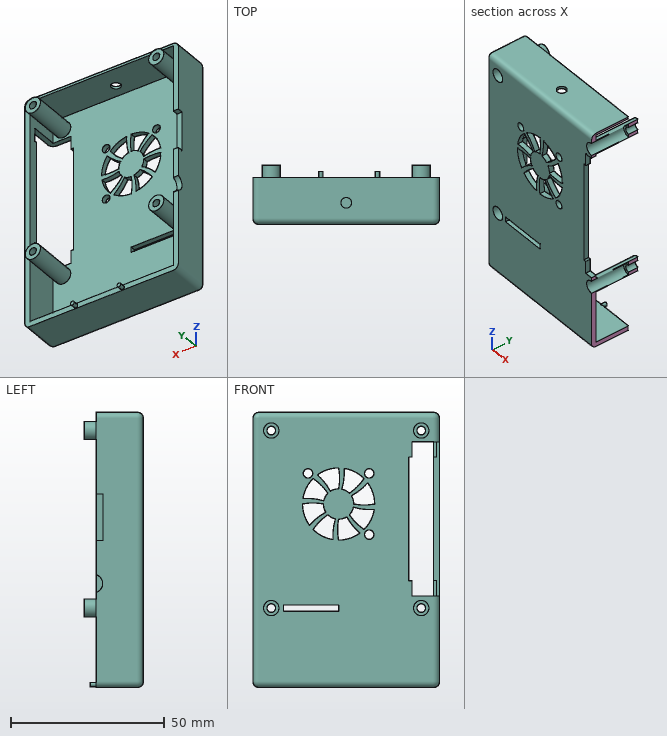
import cadquery as cq
import math

WIDTH = 61.0
HEIGHT = 90.0
TOTAL_DEPTH = 19.44
POST_PROJECTION = 4.0
RIM_Y = TOTAL_DEPTH - POST_PROJECTION
WALL = 2.0
TOP_WALL = 1.0
CORNER_RADIUS = 2.0

POST_DIAMETER = 6.0
SCREW_HEAD_DIAMETER = 5.0
SCREW_HOLE_DIAMETER = 2.75
POST_X = 24.5
POST_Z_LEVELS = (39.0, -19.0)

PIN_DIAMETER = 1.5
PIN_HEIGHT = 2.0
PIN_X_POSITIONS = (-8.3, 10.2)
PIN_Z = -(HEIGHT - WALL) / 2

FAN_X = -2.5
FAN_Z = 15.0
FAN_RADIUS = 11.75
HUB_RADIUS = 5.0
SPOKE_COUNT = 8
SPOKE_WIDTH_AT_HUB = 1.1
SPOKE_WIDTH_AT_RIM = 1.85
SPOKE_BOW = 0.3
FAN_SCREW_DIAMETER = 3.0
FAN_SCREW_OFFSET = 10.0
FAN_SCREW_SIDES = ((-1, 1), (1, 1), (1, -1))

HEADER_Z_MIN = -15.0
HEADER_Z_MAX = 35.3
HEADER_X_MIN = 21.5
HEADER_STEP = 1.0
HEADER_END_LENGTH = 5.0
HEADER_SILL = 4.0
SILL_RECESS_DEPTH = 1.0

RIBBON_X_MIN = -20.5
RIBBON_LENGTH = 18.0
RIBBON_Z_MIN = -20.0
RIBBON_HEIGHT = 2.0

SIDE_NOTCH_Z_MIN = 3.0
SIDE_NOTCH_LENGTH = 15.2
SIDE_NOTCH_DEPTH = 2.2
JACK_DIAMETER = 6.0
JACK_Z = -11.0
JACK_AXIS_BEYOND_RIM = 0.9
TOP_HOLE_DIAMETER = 3.5
TOP_HOLE_FROM_RIM = 8.3


def block(x_min, x_max, y_min, y_max, z_min, z_max):
    """Box given by its limits along each axis."""
    size = (x_max - x_min, y_max - y_min, z_max - z_min)
    return cq.Workplane("XY").box(*size, centered=False).translate((x_min, y_min, z_min))


def rod_y(x, z, diameter, y_min, y_max):
    """Cylinder along Y."""
    plane = cq.Workplane("XZ", origin=(x, y_min, z))
    return plane.circle(diameter / 2).extrude(y_min - y_max)


def make_shell():
    half_width = WIDTH / 2
    half_height = HEIGHT / 2
    body = block(-half_width, half_width, 0, RIM_Y, -half_height, half_height)
    body = body.edges("|Y or <Y").fillet(CORNER_RADIUS)
    inner_x = half_width - WALL
    inner_z_min = -half_height + WALL
    inner_z_max = half_height - TOP_WALL
    return body.cut(block(-inner_x, inner_x, WALL, RIM_Y, inner_z_min, inner_z_max))


def add_posts(body):
    for x in (-POST_X, POST_X):
        for z in POST_Z_LEVELS:
            body = body.union(rod_y(x, z, POST_DIAMETER, WALL, TOTAL_DEPTH))
            body = body.cut(rod_y(x, z, SCREW_HEAD_DIAMETER, 0, RIM_Y))
            body = body.cut(rod_y(x, z, SCREW_HOLE_DIAMETER, 0, TOTAL_DEPTH))
    return body


def add_pins(body):
    for x in PIN_X_POSITIONS:
        body = body.union(rod_y(x, PIN_Z, PIN_DIAMETER, RIM_Y - WALL, RIM_Y + PIN_HEIGHT))
    return body


def grille_opening():
    """Opening between two neighbouring spokes, centred on the fan axis."""
    pitch = 2 * math.pi / SPOKE_COUNT
    middle_radius = (HUB_RADIUS + FAN_RADIUS) / 2
    middle_width = (SPOKE_WIDTH_AT_HUB + SPOKE_WIDTH_AT_RIM) / 2

    def polar(radius, angle):
        return (radius * math.cos(angle), radius * math.sin(angle))

    def next_spoke_edge(radius, offset):
        """Point on the clockwise edge of the next spoke, offset from its radial line."""
        along = math.sqrt(radius**2 - offset**2)
        cos_pitch = math.cos(pitch)
        sin_pitch = math.sin(pitch)
        return (along * cos_pitch + offset * sin_pitch, along * sin_pitch - offset * cos_pitch)

    def arc_middle(radius, far_point):
        return polar(radius, math.atan2(far_point[1], far_point[0]) / 2)

    rim_end = next_spoke_edge(FAN_RADIUS, SPOKE_WIDTH_AT_RIM)
    hub_end = next_spoke_edge(HUB_RADIUS, SPOKE_WIDTH_AT_HUB)
    return (
        cq.Workplane("XZ", origin=(0, WALL, 0))
        .moveTo(HUB_RADIUS, 0)
        .threePointArc((middle_radius, -SPOKE_BOW), (FAN_RADIUS, 0))
        .threePointArc(arc_middle(FAN_RADIUS, rim_end), rim_end)
        .threePointArc(next_spoke_edge(middle_radius, middle_width + SPOKE_BOW), hub_end)
        .threePointArc(arc_middle(HUB_RADIUS, hub_end), (HUB_RADIUS, 0))
        .close()
        .extrude(WALL)
    )


def cut_fan_grille(body):
    opening = grille_opening()
    for index in range(SPOKE_COUNT):
        angle = index * 360 / SPOKE_COUNT
        turned = opening.rotate((0, 0, 0), (0, 1, 0), angle)
        body = body.cut(turned.translate((FAN_X, 0, FAN_Z)))
    for side_x, side_z in FAN_SCREW_SIDES:
        x = FAN_X + side_x * FAN_SCREW_OFFSET
        z = FAN_Z + side_z * FAN_SCREW_OFFSET
        body = body.cut(rod_y(x, z, FAN_SCREW_DIAMETER, 0, WALL))
    return body


def cut_header_opening(body):
    outer_x = WIDTH / 2
    sill_y = RIM_Y - HEADER_SILL
    middle_z_min = HEADER_Z_MIN + HEADER_END_LENGTH
    middle_z_max = HEADER_Z_MAX - HEADER_END_LENGTH
    body = body.cut(block(HEADER_X_MIN, outer_x, 0, sill_y, HEADER_Z_MIN, HEADER_Z_MAX))
    middle_x_min = HEADER_X_MIN - HEADER_STEP
    body = body.cut(block(middle_x_min, outer_x, 0, WALL, middle_z_min, middle_z_max))
    recess_x_min = outer_x - WALL
    recess_x_max = recess_x_min + HEADER_STEP
    recess_y_max = sill_y + SILL_RECESS_DEPTH
    for z_min in (HEADER_Z_MIN, middle_z_max):
        z_max = z_min + HEADER_END_LENGTH
        body = body.cut(block(recess_x_min, recess_x_max, sill_y, recess_y_max, z_min, z_max))
    return body


def cut_ribbon_slot(body):
    x_max = RIBBON_X_MIN + RIBBON_LENGTH
    z_max = RIBBON_Z_MIN + RIBBON_HEIGHT
    return body.cut(block(RIBBON_X_MIN, x_max, 0, WALL, RIBBON_Z_MIN, z_max))


def cut_wall_openings(body):
    outer_x = -WIDTH / 2
    inner_x = outer_x + WALL
    notch_z_max = SIDE_NOTCH_Z_MIN + SIDE_NOTCH_LENGTH
    notch_y = RIM_Y - SIDE_NOTCH_DEPTH
    body = body.cut(block(outer_x, inner_x, notch_y, RIM_Y, SIDE_NOTCH_Z_MIN, notch_z_max))

    jack_plane = cq.Workplane("YZ", origin=(outer_x, RIM_Y + JACK_AXIS_BEYOND_RIM, JACK_Z))
    body = body.cut(jack_plane.circle(JACK_DIAMETER / 2).extrude(WALL))

    top_plane = cq.Workplane("XY", origin=(0, RIM_Y - TOP_HOLE_FROM_RIM, HEIGHT / 2))
    return body.cut(top_plane.circle(TOP_HOLE_DIAMETER / 2).extrude(-TOP_WALL))


shell = make_shell()
shell = add_posts(shell)
shell = add_pins(shell)
shell = cut_fan_grille(shell)
shell = cut_header_opening(shell)
shell = cut_ribbon_slot(shell)
result = cut_wall_openings(shell)